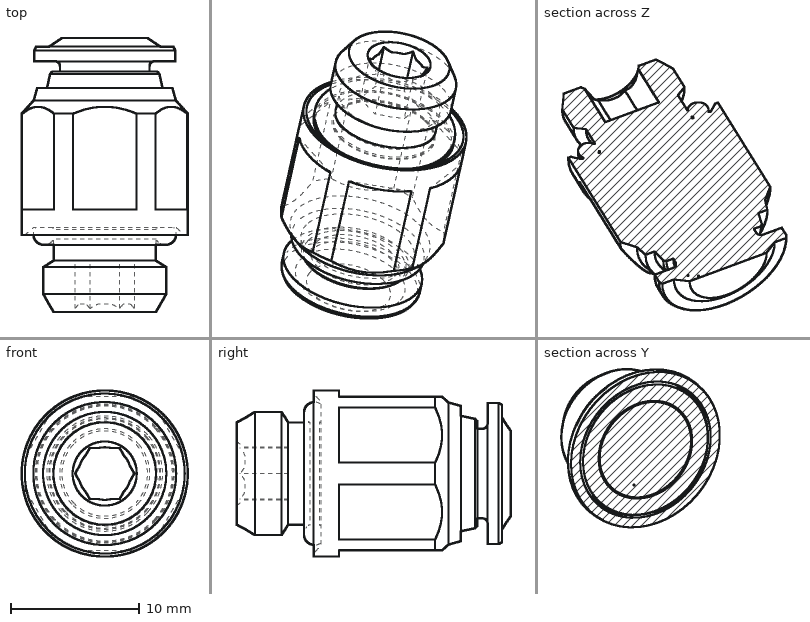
import cadquery as cq
import math

length = 21.4

stud_radius = 4.82
stud_neck_radius = 4.0
tip_chamfer_length = 1.41
stud_end = 3.5
stud_neck_start = 4.02

collar_radius = 13.0 / 2
collar_start = 6.01
flats_start = 8.0
body_cone_start = 15.5
shoulder_start = 16.52
shoulder_end = 17.5
shoulder_base_radius = 5.56
shoulder_top_radius = 5.29
across_flats = 12.0
flat_count = 6

ring_tube_radius = 0.83
ring_center_radius = 4.75
ring_center = 6.08
recess_mouth_radius = 6.25
recess_floor_radius = ring_center_radius + ring_tube_radius
recess_depth = 0.58
recess_floor = collar_start + recess_depth

sleeve_base_radius = 4.52
sleeve_top_radius = 4.28
sleeve_end = 18.79
sleeve_edge_chamfer = 0.2

button_neck_radius = 3.5
button_fillet = 0.39
flange_radius = 5.52
flange_start = 19.58
flange_end = 20.72
flange_chamfer_width = 0.15
flange_chamfer_length = 0.28
button_cone_radius = 4.37
button_face_radius = 3.34

socket_mouth_radius = 2.5
socket_lead_in_angle = math.radians(35)
socket_across_flats = 4.0
socket_pilot_radius = 2.05
socket_depth = 4.0


def turned_body():
    """Revolve the outer profile, with sketch x as radius and y as axis."""
    fillet_center = (button_neck_radius + button_fillet, flange_start - button_fillet)
    diagonal = button_fillet * math.sqrt(0.5)
    fillet_middle = (fillet_center[0] - diagonal, fillet_center[1] + diagonal)
    profile = (
        cq.Workplane("XY")
        .moveTo(0, 0)
        .lineTo(stud_neck_radius, 0)
        .lineTo(stud_radius, tip_chamfer_length)
        .lineTo(stud_radius, stud_end)
        .lineTo(stud_neck_radius, stud_neck_start)
        .lineTo(stud_neck_radius, recess_floor)
        .lineTo(recess_floor_radius, recess_floor)
        .lineTo(recess_mouth_radius, collar_start)
        .lineTo(collar_radius, collar_start)
        .lineTo(collar_radius, body_cone_start)
        .lineTo(shoulder_base_radius, shoulder_start)
        .lineTo(shoulder_top_radius, shoulder_end)
        .lineTo(sleeve_base_radius, shoulder_end)
        .lineTo(sleeve_top_radius, sleeve_end - sleeve_edge_chamfer)
        .lineTo(sleeve_top_radius - sleeve_edge_chamfer, sleeve_end)
        .lineTo(button_neck_radius, sleeve_end)
        .lineTo(button_neck_radius, flange_start - button_fillet)
        .threePointArc(fillet_middle, (fillet_center[0], flange_start))
        .lineTo(flange_radius, flange_start)
        .lineTo(flange_radius, flange_end - flange_chamfer_length)
        .lineTo(flange_radius - flange_chamfer_width, flange_end)
        .lineTo(button_cone_radius, flange_end)
        .lineTo(button_face_radius, length)
        .lineTo(0, length)
        .close()
    )
    return profile.revolve(360, (0, 0), (0, 1))


def sealing_ring():
    return (
        cq.Workplane("XY")
        .center(ring_center_radius, ring_center)
        .circle(ring_tube_radius)
        .revolve(360, (-ring_center_radius, 0), (-ring_center_radius, 1))
    )


def hexagonal_bar(width, start, end):
    """Hexagonal prism along Y with corners on the X axis."""
    corner_diameter = width / math.cos(math.pi / flat_count)
    return (
        cq.Workplane("XZ", origin=(0, start, 0))
        .polygon(flat_count, corner_diameter)
        .extrude(start - end)
    )


def wrench_flat_waste():
    """Material outside the hexagon between the collar and the shoulder."""
    flats_length = shoulder_start - flats_start
    blank = (
        cq.Workplane("XZ", origin=(0, flats_start, 0))
        .circle(2 * collar_radius)
        .extrude(-flats_length)
    )
    return blank.cut(hexagonal_bar(across_flats, flats_start, shoulder_start))


def socket():
    """Blind hexagon over a pilot bore that slightly grooves the flats, with a conical mouth."""
    lead_in_depth = (socket_mouth_radius - socket_across_flats / 2) / math.tan(socket_lead_in_angle)
    lead_in = (
        cq.Workplane("XY")
        .moveTo(0, 0)
        .lineTo(socket_mouth_radius, 0)
        .lineTo(socket_across_flats / 2, lead_in_depth)
        .lineTo(0, lead_in_depth)
        .close()
        .revolve(360, (0, 0), (0, 1))
    )
    pilot = cq.Workplane("XZ").circle(socket_pilot_radius).extrude(-socket_depth)
    return lead_in.union(pilot).union(hexagonal_bar(socket_across_flats, 0, socket_depth))


result = turned_body().union(sealing_ring()).cut(wrench_flat_waste()).cut(socket())